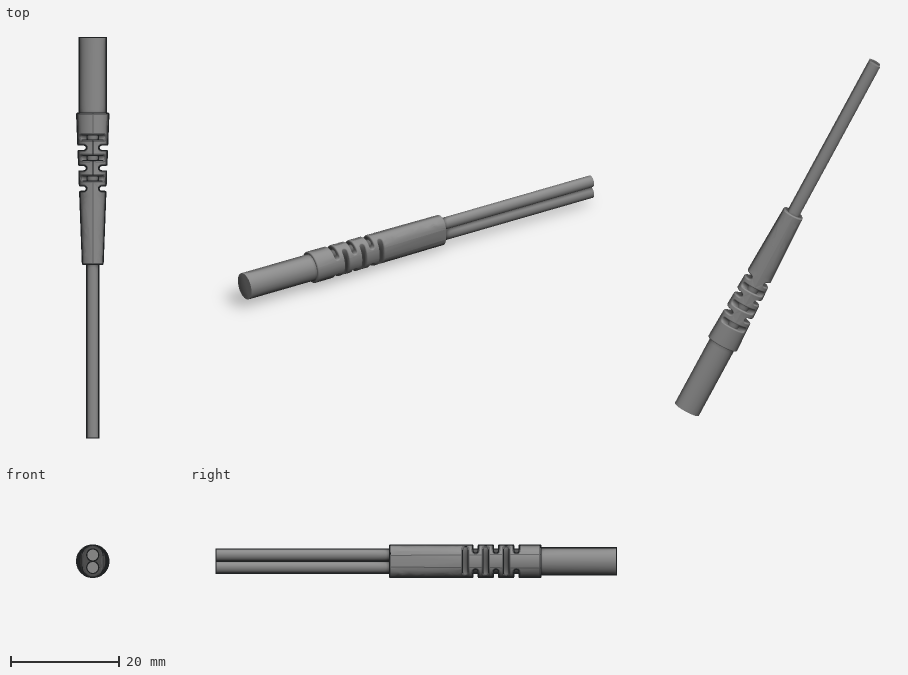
import cadquery as cq
import math

TOTAL_LENGTH = 74.0
TUBE_LENGTH = 14.0
BOOT_LENGTH = 28.0
WIRE_LENGTH = TOTAL_LENGTH - TUBE_LENGTH

TUBE_DIAMETER = 5.0
WIRE_DIAMETER = 2.2
WIRE_SPACING = 2.3

BOOT_DIAMETER = 6.0
BOOT_END_WIDTH = 3.85
WIDE_SIDE_HALF_HEIGHT = 1.25
BOOT_END_FILLET = 0.2

SLOTS_PER_SIDE = 3
SLOT_PITCH = 3.8
SLOT_WIDTH = 0.95
SLOT_MOUTH_FILLET = 0.2
FIRST_Z_SLOT_Y = -4.5
FIRST_X_SLOT_Y = FIRST_Z_SLOT_Y - SLOT_PITCH / 2
Z_SLOT_FLOOR = 1.5
X_SLOT_FLOOR = 1.2
CUTTER_SIZE = 2 * BOOT_DIAMETER


def cylinder(diameter, length, y_front, z=0.0):
    """A cylinder along Y, starting at y_front and running toward -Y."""
    return cq.Workplane("XZ", origin=(0, y_front, z)).circle(diameter / 2).extrude(length)


def boot_section(y, arc_radius, corner_z, round_sides):
    """A closed outline at y: top and bottom arcs of arc_radius meet the two sides at Z = +-corner_z."""
    top = BOOT_DIAMETER / 2
    arc_center = top - arc_radius
    corner_angle = math.asin((corner_z - arc_center) / arc_radius)
    corner_x = arc_radius * math.cos(corner_angle)
    middle_angle = (math.pi / 2 + corner_angle) / 2
    middle_x = arc_radius * math.cos(middle_angle)
    middle_z = arc_center + arc_radius * math.sin(middle_angle)

    def draw_side(outline, side):
        """Draws the side from the current point to the corner mirrored across Z = 0."""
        end = (side * corner_x, -side * corner_z)
        if round_sides:
            return outline.threePointArc((side * arc_radius, 0), end)
        return outline.lineTo(*end)

    outline = cq.Workplane("XZ", origin=(0, y, 0)).moveTo(0, top)
    outline = outline.threePointArc((middle_x, middle_z), (corner_x, corner_z))
    outline = draw_side(outline, 1)
    outline = outline.threePointArc((middle_x, -middle_z), (0, -top))
    outline = outline.threePointArc((-middle_x, -middle_z), (-corner_x, -corner_z))
    outline = draw_side(outline, -1)
    outline = outline.threePointArc((-middle_x, middle_z), (0, top))
    return outline.wire().val()


def boot_blank():
    """The tapered skin without slots, with both end rims rounded."""
    radius = BOOT_DIAMETER / 2
    end_radius = BOOT_END_WIDTH / 2
    wide = boot_section(0, radius, WIDE_SIDE_HALF_HEIGHT, True)
    narrow = boot_section(-BOOT_LENGTH, end_radius, radius - end_radius, False)
    ruled = True
    blank = cq.Workplane(cq.Solid.makeLoft([wide, narrow], ruled))
    return blank.faces("<Y or >Y").edges().fillet(BOOT_END_FILLET)


def slot_cutter(y, floor):
    """A bar across X whose fully rounded lower side, lowest at Z = floor, is the slot floor."""
    half_width = SLOT_WIDTH / 2
    round_top = floor + half_width
    outline = cq.Workplane("YZ", origin=(-CUTTER_SIZE / 2, y, 0)).moveTo(-half_width, CUTTER_SIZE)
    outline = outline.lineTo(-half_width, round_top)
    outline = outline.threePointArc((0, floor), (half_width, round_top))
    outline = outline.lineTo(half_width, CUTTER_SIZE).close()
    return outline.extrude(CUTTER_SIZE)


def slot_cutters():
    """All the slot cutters, in opposite pairs."""
    cutters = []
    for i in range(SLOTS_PER_SIDE):
        z_cutter = slot_cutter(FIRST_Z_SLOT_Y - i * SLOT_PITCH, Z_SLOT_FLOOR)
        x_cutter = slot_cutter(FIRST_X_SLOT_Y - i * SLOT_PITCH, X_SLOT_FLOOR)
        for angle in (0, 180):
            cutters.append(z_cutter.rotate((0, 0, 0), (0, 1, 0), angle))
            cutters.append(x_cutter.rotate((0, 0, 0), (0, 1, 0), angle + 90))
    return cutters


def slot_rims(boot):
    """The edges where the slot walls and floors meet the lofted outer skin."""
    skin_edges = boot.faces("%BSPLINE").edges().vals()
    slot_faces = boot.faces("%PLANE or %CYLINDER").faces("not (<Y or >Y)")
    slot_edges = set(slot_faces.edges().vals())
    return [edge for edge in skin_edges if edge in slot_edges]


def make_tube():
    return cylinder(TUBE_DIAMETER, TUBE_LENGTH, TUBE_LENGTH)


def make_wire(z):
    return cylinder(WIRE_DIAMETER, WIRE_LENGTH, 0, z)


def make_boot(wires):
    """The slotted boot with a hole for each wire; the top and bottom slots lay the wires bare."""
    boot = boot_blank()
    for cutter in slot_cutters():
        boot = boot.cut(cutter)
    boot = boot.newObject(slot_rims(boot)).fillet(SLOT_MOUTH_FILLET)
    for wire in wires:
        boot = boot.cut(wire)
    return boot.solids()


tube = make_tube()
wires = [make_wire(side * WIRE_SPACING / 2) for side in (1, -1)]
boot = make_boot(wires)

result = cq.Compound.makeCompound([tube.val(), boot.val(), *[wire.val() for wire in wires]])